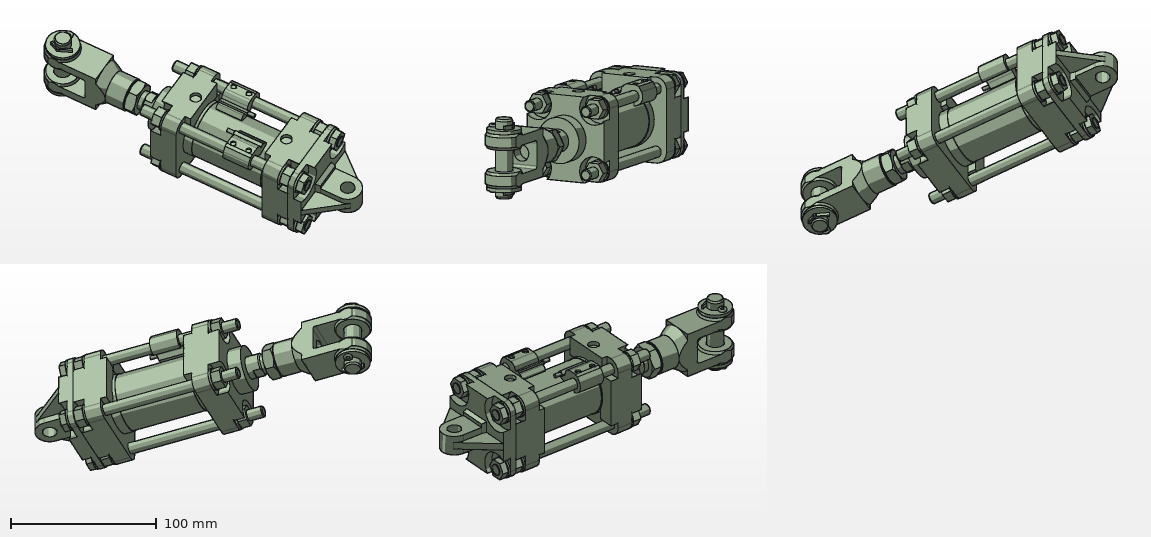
import cadquery as cq
import math


cover_side = 60.0
cover_corner_radius = 8.0
cover_length = 20.5
front_cover_start = 87.0
rear_cover_end = 195.7
neck_diameter = 32.0
neck_length = 10.0
collar_diameter = 41.0
collar_length = 6.7
tube_diameter = 40.0
port_diameter = 8.0
port_depth = 3.0
port_to_inner_face = 2.0
port_block_width = 35.9
port_block_height = 14.5
port_block_length = 4.5
front_side_block_length = 6.0
side_block_height = 12.0
nut_recess_diameter = 22.0
nut_recess_depth = 8.2

tie_rod_diameter = 8.0
tie_rod_start = 75.7
tie_rod_tip_past_bracket = 0.7
tie_rod_chamfer = 0.7
tie_nut_flats = 13.0
tie_washer_diameter = 15.5
tie_washer_thickness = 1.5

rod_diameter = 16.0
rod_shoulder = 66.5
thread_diameter = 14.0
rod_flat_length = 6.2
lock_nut_flats = 22.0
lock_nut_length = 8.5
lock_nut_chamfer = 1.0
lock_nut_collar_length = 0.7

fork_width = 24.2
fork_hub_diameter = 24.0
fork_end_radius = 13.0
fork_gap = 20.0
fork_arm_thickness = 7.0
fork_boss_height = 2.0
fork_boss_base_diameter = 25.5
fork_boss_tip_diameter = 23.5
fork_slot_end = 24.7
fork_slot_corner_radius = 2.0
fork_block_end = 33.0
fork_cone_length = 7.5
fork_end = 54.5
fork_pin_bore = 12.5
fork_core_bore = 11.5

pin_diameter = 12.0
pin_top = 28.5
pin_bottom = -27.1
pin_chamfer_width = 0.7
pin_chamfer_length = 1.5
washer_diameter = 24.0
washer_thickness = 2.5
split_pin_diameter = 2.7
split_pin_eye_diameter = 4.2
split_pin_wire = 2.1
split_pin_leg_thickness = 1.5

bracket_plate_thickness = 10.7
bracket_recess_depth = 6.2
bracket_recess_diameter = 26.0
lug_hole_x = 225.8
lug_hole_diameter = 10.0
lug_radius = 10.2
lug_thickness = 15.0
lug_root_base = 22.2
lug_root_length = 3.7
web_thickness = 5.2

switch_length = 20.2
switch_start = 119.0
switch_turn_x = 141.5
switch_outer_radius = 7.0
switch_screw_diameter = 4.0
switch_screw_depth = 1.2
switch_screw_inset = 4.0
switch_screw_y = 21.5
sensor_diameter = 4.0
sensor_y = 10.0
sensor_z = 25.0
sensor_length = 22.2
sensor_slot_width = 3.2
sensor_flat_height = 0.7
sensor_slot_depth = 7.5
cable_diameter = 2.7
cable_length = 5.2

half_side = cover_side / 2
tie_offset = half_side - cover_corner_radius
tie_positions = [(y, z) for y in (-tie_offset, tie_offset) for z in (-tie_offset, tie_offset)]
front_cover_end = front_cover_start + cover_length
rear_cover_start = rear_cover_end - cover_length
bracket_back = rear_cover_end + bracket_plate_thickness
bracket_recess_floor = bracket_back - bracket_recess_depth
tie_rod_end = bracket_back + tie_rod_tip_past_bracket
fork_height = fork_gap + 2 * fork_arm_thickness
fork_boss_top = fork_height / 2 + fork_boss_height
washer_top = fork_boss_top + washer_thickness
hex_corner_ratio = 2 / math.sqrt(3)


def box(x0, x1, y0, y1, z0, z1):
    return cq.Workplane("XY").box(x1 - x0, y1 - y0, z1 - z0, centered=False).translate((x0, y0, z0))


def x_cylinder(diameter, x0, x1, y=0, z=0):
    return cq.Workplane("YZ", origin=(x0, y, z)).circle(diameter / 2).extrude(x1 - x0)


def z_cylinder(diameter, z0, z1, x=0, y=0):
    return cq.Workplane("XY", origin=(x, y, z0)).circle(diameter / 2).extrude(z1 - z0)


def x_hexagon(flats, x0, x1, y=0, z=0):
    return cq.Workplane("YZ", origin=(x0, y, z)).polygon(6, flats * hex_corner_ratio).extrude(x1 - x0)


def square_plate(x0, x1):
    plate = box(x0, x1, -half_side, half_side, -half_side, half_side)
    return plate.edges("|X").fillet(cover_corner_radius)


def make_cover_block(inner_face_x, block_end, height):
    x0 = min(inner_face_x, block_end)
    x1 = max(inner_face_x, block_end)
    half_width = port_block_width / 2
    return box(x0, x1, -half_width, half_width, half_side - height, half_side)


def make_cover(x0, recess_x, inner_face_x, inward, side_block_length):
    """End cover with nut recesses, a port, and blocks that stand inward on its +Z and +Y sides."""
    cover = square_plate(x0, x0 + cover_length)
    top_block_end = inner_face_x + inward * port_block_length
    side_block_end = inner_face_x + inward * side_block_length
    top_block = make_cover_block(inner_face_x, top_block_end, port_block_height)
    side_block = make_cover_block(inner_face_x, side_block_end, side_block_height)
    cover = cover.union(top_block).union(side_block.rotate((0, 0, 0), (1, 0, 0), -90))
    for y, z in tie_positions:
        cover = cover.cut(x_cylinder(nut_recess_diameter, recess_x, recess_x + nut_recess_depth, y, z))
    port_x = inner_face_x - inward * port_to_inner_face
    return cover.cut(z_cylinder(port_diameter, half_side - port_depth, half_side, port_x))


def make_tie_rod(y, z):
    """Tie rod with three nuts on washers: one in each cover and one in the bracket."""
    tie_rod = x_cylinder(tie_rod_diameter, tie_rod_start, tie_rod_end, y, z)
    tie_rod = tie_rod.faces("<X").chamfer(tie_rod_chamfer)
    seats = [
        (front_cover_start + nut_recess_depth, front_cover_start),
        (rear_cover_end - nut_recess_depth, rear_cover_end),
        (bracket_recess_floor, bracket_back),
    ]
    for seat_x, nut_end in seats:
        outward = math.copysign(1, nut_end - seat_x)
        washer_face = seat_x + outward * tie_washer_thickness
        tie_rod = tie_rod.union(x_cylinder(tie_washer_diameter, seat_x, washer_face, y, z))
        tie_rod = tie_rod.union(x_hexagon(tie_nut_flats, washer_face, nut_end, y, z))
    return tie_rod


def make_cylinder():
    rear_recess_start = rear_cover_end - nut_recess_depth
    body = make_cover(front_cover_start, front_cover_start, front_cover_end, 1, front_side_block_length)
    body = body.union(
        make_cover(rear_cover_start, rear_recess_start, rear_cover_start, -1, port_block_length)
    )
    body = body.union(x_cylinder(neck_diameter, front_cover_start - neck_length, front_cover_start))
    body = body.union(x_cylinder(tube_diameter, front_cover_end, rear_cover_start))
    body = body.union(x_cylinder(collar_diameter, front_cover_end, front_cover_end + collar_length))
    body = body.union(x_cylinder(collar_diameter, rear_cover_start - collar_length, rear_cover_start))
    for y, z in tie_positions:
        body = body.union(make_tie_rod(y, z))
    return body.cut(x_cylinder(rod_diameter, front_cover_start - neck_length, front_cover_end))


def make_lock_nut():
    """Hexagon nut with cone-chamfered corners and a round collar that bears on the fork."""
    hex_start = fork_end + lock_nut_collar_length
    nut_end = fork_end + lock_nut_length
    face_radius = lock_nut_flats / 2
    corner_radius = face_radius * hex_corner_ratio
    corner_limits = (
        cq.Workplane("XY")
        .moveTo(hex_start, 0)
        .lineTo(hex_start, face_radius)
        .lineTo(hex_start + lock_nut_chamfer, corner_radius)
        .lineTo(nut_end - lock_nut_chamfer, corner_radius)
        .lineTo(nut_end, face_radius)
        .lineTo(nut_end, 0)
        .close()
        .revolve(360, (0, 0, 0), (1, 0, 0))
    )
    nut = x_hexagon(lock_nut_flats, hex_start, nut_end).intersect(corner_limits)
    return nut.union(x_cylinder(lock_nut_flats, fork_end, hex_start))


def make_piston_rod():
    rod = x_cylinder(rod_diameter, rod_shoulder, front_cover_end)
    rod = rod.faces("<X").chamfer((rod_diameter - thread_diameter) / 2)
    flat_end = rod_shoulder + rod_flat_length
    flat = box(rod_shoulder, flat_end, -rod_diameter, rod_diameter, thread_diameter / 2, rod_diameter)
    rod = rod.cut(flat).cut(flat.mirror("XY"))
    rod = rod.union(x_cylinder(thread_diameter, fork_block_end, rod_shoulder))
    return rod.union(make_lock_nut())


def make_fork():
    half_width = fork_width / 2
    half_height = fork_height / 2
    block = box(-fork_end_radius, fork_block_end, -half_width, half_width, -half_height, half_height)
    rounding = z_cylinder(2 * fork_end_radius, -half_height, half_height)
    rounding = rounding.union(box(0, fork_block_end, -half_width, half_width, -half_height, half_height))
    fork = block.intersect(rounding)

    cone_end = fork_block_end + fork_cone_length
    cone = (
        cq.Workplane("YZ", origin=(fork_block_end, 0, 0))
        .circle(half_height)
        .workplane(offset=fork_cone_length)
        .circle(half_width)
        .loft()
    )
    side_limits = box(fork_block_end, cone_end, -half_width, half_width, -half_height, half_height)
    fork = fork.union(cone.intersect(side_limits))
    fork = fork.union(x_cylinder(fork_hub_diameter, cone_end, fork_end))

    slot = box(-fork_end_radius, fork_slot_end, -half_width, half_width, -fork_gap / 2, fork_gap / 2)
    fork = fork.cut(slot.edges("|Y and >X").fillet(fork_slot_corner_radius))

    boss_length = fork_arm_thickness + 2 * fork_boss_height
    boss_base = fork_boss_base_diameter / 2
    boss_tip = fork_boss_tip_diameter / 2
    boss = (
        cq.Workplane("XZ")
        .moveTo(0, 0)
        .lineTo(boss_tip, 0)
        .lineTo(boss_base, fork_boss_height)
        .lineTo(boss_base, boss_length - fork_boss_height)
        .lineTo(boss_tip, boss_length)
        .lineTo(0, boss_length)
        .close()
        .revolve(360, (0, 0, 0), (0, 1, 0))
        .translate((0, 0, fork_gap / 2 - fork_boss_height))
    )
    boss = boss.intersect(box(-boss_base, boss_base, -half_width, half_width, 0, fork_boss_top))
    fork = fork.union(boss).union(boss.mirror("XY"))
    fork = fork.cut(z_cylinder(fork_pin_bore, -fork_boss_top, fork_boss_top))
    fork = fork.cut(x_cylinder(fork_core_bore, fork_slot_end, fork_block_end))
    return fork.cut(x_cylinder(thread_diameter, fork_block_end, fork_end))


def make_split_pin(z):
    """Split pin along Y: an eye on the +Y side, and two legs bent apart on the -Y side."""
    pin_radius = pin_diameter / 2
    eye_y = pin_radius + split_pin_eye_diameter / 2
    shank = cq.Workplane("XZ", origin=(0, eye_y, z)).circle(split_pin_diameter / 2)
    shank = shank.extrude(eye_y + pin_radius + split_pin_leg_thickness)
    eye = cq.Workplane("XY").add(
        cq.Solid.makeTorus(split_pin_eye_diameter / 2, split_pin_wire / 2)
    )
    eye = eye.translate((0, eye_y, z))
    legs = (
        cq.Workplane("XY", origin=(0, 0, z - split_pin_diameter / 2))
        .polyline([(-7.0, -4.5), (0, -7.5), (9.5, -3.0), (9.0, -2.0), (0, -5.7), (-6.5, -3.2)])
        .close()
        .extrude(split_pin_diameter)
    )
    return shank.union(eye).union(legs)


def make_clevis_pin():
    radius = pin_diameter / 2
    tip_radius = radius - pin_chamfer_width
    pin = (
        cq.Workplane("XZ")
        .moveTo(0, pin_bottom)
        .lineTo(tip_radius, pin_bottom)
        .lineTo(radius, pin_bottom + pin_chamfer_length)
        .lineTo(radius, pin_top - pin_chamfer_length)
        .lineTo(tip_radius, pin_top)
        .lineTo(0, pin_top)
        .close()
        .revolve(360, (0, 0, 0), (0, 1, 0))
    )
    split_pin_z = washer_top + split_pin_diameter / 2
    for side in (-1, 1):
        washer = z_cylinder(washer_diameter, fork_boss_top, washer_top)
        pin = pin.union(washer if side > 0 else washer.mirror("XY"))
        pin = pin.union(make_split_pin(side * split_pin_z))
    return pin


def make_bracket():
    bracket = square_plate(rear_cover_end, bracket_back)
    for y, z in tie_positions:
        bracket = bracket.cut(x_cylinder(bracket_recess_diameter, bracket_recess_floor, bracket_back, y, z))
        bracket = bracket.cut(x_cylinder(tie_rod_diameter, rear_cover_end, bracket_back, y, z))

    lug = z_cylinder(2 * lug_radius, -lug_thickness / 2, lug_thickness / 2, lug_hole_x)
    lug = lug.union(
        box(bracket_back, lug_hole_x, -lug_radius, lug_radius, -lug_thickness / 2, lug_thickness / 2)
    )
    lug_root = (
        cq.Workplane("YZ", origin=(bracket_back, 0, 0))
        .rect(lug_root_base, lug_root_base)
        .workplane(offset=lug_root_length)
        .rect(2 * lug_radius, 2 * lug_radius)
        .loft()
    )
    lug = lug.union(lug_root)

    reach = lug_hole_x - bracket_back
    corner_distance = math.hypot(reach, half_side)
    normal_angle = math.pi - math.atan2(half_side, reach) - math.acos(lug_radius / corner_distance)
    touch_x = lug_hole_x + lug_radius * math.cos(normal_angle)
    touch_y = lug_radius * math.sin(normal_angle)
    web = (
        cq.Workplane("XY", origin=(0, 0, -web_thickness / 2))
        .polyline([
            (bracket_back, -half_side), (touch_x, -touch_y), (touch_x, touch_y), (bracket_back, half_side),
        ])
        .close()
        .extrude(web_thickness)
    )
    bracket = bracket.union(lug).union(web)
    return bracket.cut(z_cylinder(lug_hole_diameter, -lug_thickness, lug_thickness, lug_hole_x))


def make_switch():
    """Holder hooked over the tie rod at +Y. A sensor and its cable end lie in a slot of the holder."""
    holder_end = switch_start + switch_length
    hook_angle = math.radians(30)
    hook_x = switch_outer_radius * math.cos(hook_angle)
    hook_z = switch_outer_radius * math.sin(hook_angle)
    holder = (
        cq.Workplane("YZ", origin=(switch_start, 0, 0))
        .moveTo(tie_offset, tie_offset - switch_outer_radius)
        .threePointArc((tie_offset + hook_x, tie_offset - hook_z), (tie_offset + hook_x, tie_offset + hook_z))
        .lineTo(26.0, 29.1)
        .lineTo(23.5, half_side)
        .lineTo(17.0, half_side)
        .threePointArc((14.0, 29.0), (12.2, 26.5))
        .lineTo(8.2, 25.0)
        .lineTo(6.7, 24.7)
        .threePointArc((5.0, 23.5), (4.0, 21.5))
        .lineTo(5.0, 20.5)
        .lineTo(12.5, 18.0)
        .lineTo(16.2, 20.0)
        .lineTo(tie_offset, tie_offset)
        .close()
        .extrude(switch_length)
    )
    holder = holder.cut(x_cylinder(tie_rod_diameter, switch_start, holder_end, tie_offset, tie_offset))
    for x in (switch_start + switch_screw_inset, holder_end - switch_screw_inset):
        holder = holder.cut(
            z_cylinder(switch_screw_diameter, half_side - switch_screw_depth, half_side, x, switch_screw_y)
        )

    slot_tilt = math.degrees(math.atan2(sensor_y, sensor_z))
    sensor_end = switch_start + sensor_length

    def beyond_flat(x1, width):
        block = box(switch_start, x1, -width / 2, width / 2, sensor_flat_height, sensor_slot_depth)
        return block.rotate((0, 0, 0), (1, 0, 0), -slot_tilt).translate((0, sensor_y, sensor_z))

    holder = holder.cut(beyond_flat(holder_end, sensor_slot_width))
    sensor = x_cylinder(sensor_diameter, switch_start, sensor_end, sensor_y, sensor_z)
    sensor = sensor.cut(beyond_flat(sensor_end, sensor_diameter))
    cable = x_cylinder(cable_diameter, sensor_end, sensor_end + cable_length, sensor_y, sensor_z)
    return holder.union(sensor).union(cable)


cylinder = make_cylinder()
piston_rod = make_piston_rod()
fork = make_fork()
clevis_pin = make_clevis_pin()
bracket = make_bracket()
switches = [make_switch(), make_switch().rotate((switch_turn_x, 0, 0), (switch_turn_x, 0, 1), 180)]

result = cq.Compound.makeCompound(
    [cylinder.val(), piston_rod.val(), fork.val(), clevis_pin.val(), bracket.val()]
    + [switch.val() for switch in switches]
)